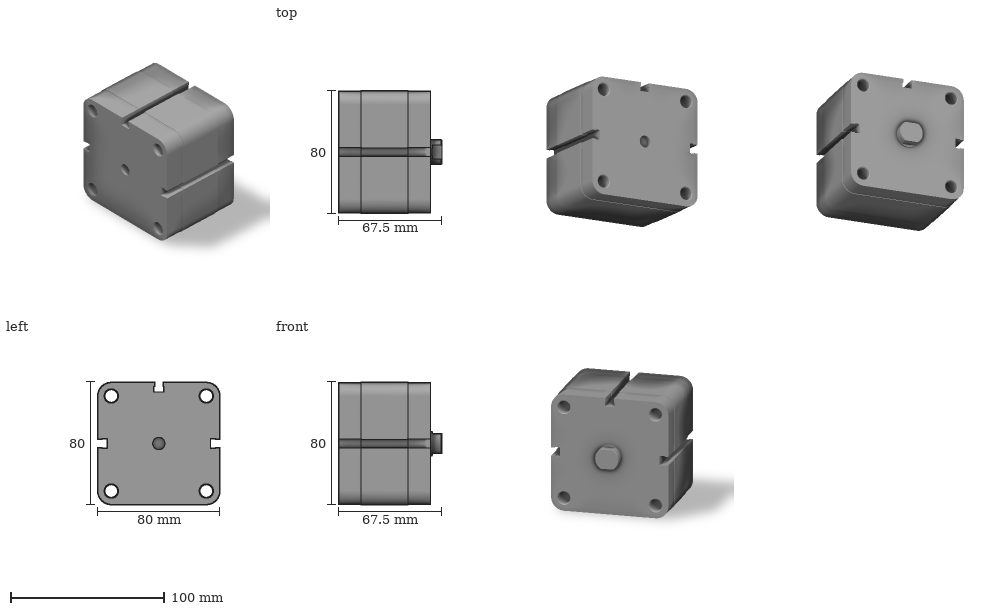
import cadquery as cq
import math


CUT_MARGIN = 0.8

BODY_LENGTH = 60.0
CAP_LENGTH = 14.7
BARREL_LENGTH = BODY_LENGTH - 2 * CAP_LENGTH
TOTAL_LENGTH = 67.5
FRONT_CAP_START = BODY_LENGTH - CAP_LENGTH

BARREL_SIDE = 80.0
CAP_INSET = 0.3
BOLT_SPACING = 62.0
BOLT_DIAMETER = 8.2
BOLT_CHAMFER = 0.6

SLOT_ANGLES = (0, 90, 180)
SLOT_MOUTH_WIDTH = 5.2
SLOT_INNER_WIDTH = 6.0
SLOT_STEP = 37.1
SLOT_FLOOR = 33.8

CENTRE_HOLE_DIAMETER = 8.0
CENTRE_HOLE_DEPTH = 4.0

ROD_LENGTH = TOTAL_LENGTH - BODY_LENGTH
ROD_DIAMETER = 16.0
ROD_CHAMFER_LENGTH = 0.7
ROD_CHAMFER_DEPTH = 0.3
FLATS_WIDTH = 13.0
FLATS_START = 1.0
FLATS_CUTTER_RADIUS = 20.8


def section_plane(x):
    """YZ plane at the given X, facing +X."""
    return cq.Workplane("YZ", origin=(x, 0, 0))


def slot_cutter(x, length, clearance):
    """Stepped slot opening towards +Y, widened by the clearance on each side."""
    outside = BARREL_SIDE / 2 + CUT_MARGIN
    mouth = SLOT_MOUTH_WIDTH + 2 * clearance
    inner = SLOT_INNER_WIDTH + 2 * clearance

    def box(start, end, width):
        return section_plane(x).center((start + end) / 2, 0).rect(end - start, width).extrude(length)

    return box(SLOT_FLOOR, outside, mouth).union(box(SLOT_FLOOR, SLOT_STEP, inner))


def slotted_block(x, length, inset):
    """Rounded square block with the sensor slots and the four bolt holes."""
    side = BARREL_SIDE - 2 * inset
    corner_radius = side / 2 - BOLT_SPACING / 2
    block = section_plane(x).rect(side, side).extrude(length).edges("|X").fillet(corner_radius)
    slot = slot_cutter(x, length, inset)
    for angle in SLOT_ANGLES:
        block = block.cut(slot.rotate((0, 0, 0), (1, 0, 0), angle))
    bolt_holes = (
        section_plane(x)
        .rect(BOLT_SPACING, BOLT_SPACING, forConstruction=True)
        .vertices()
        .circle(BOLT_DIAMETER / 2)
        .extrude(length)
    )
    return block.cut(bolt_holes)


def make_cap(x, outer_face):
    """End cap with its bolt holes chamfered on the outer face."""
    cap = slotted_block(x, CAP_LENGTH, CAP_INSET)
    smallest_radius = cq.selectors.RadiusNthSelector(0)
    hole_rims = cap.faces(outer_face).edges("%CIRCLE").edges(smallest_radius)
    return hole_rims.chamfer(BOLT_CHAMFER)


def make_rear_cap():
    centre_hole = section_plane(0).circle(CENTRE_HOLE_DIAMETER / 2).extrude(CENTRE_HOLE_DEPTH)
    return make_cap(0, "<X").cut(centre_hole)


def make_front_cap():
    return make_cap(FRONT_CAP_START, ">X")


def make_barrel():
    return slotted_block(CAP_LENGTH, BARREL_LENGTH, 0)


def make_rod():
    """Round rod end with a chamfered tip and two wrench flats facing +Z and -Z."""
    rod = (
        section_plane(BODY_LENGTH)
        .circle(ROD_DIAMETER / 2)
        .extrude(ROD_LENGTH)
        .faces(">X")
        .chamfer(ROD_CHAMFER_LENGTH, ROD_CHAMFER_DEPTH)
    )
    end_x = TOTAL_LENGTH + CUT_MARGIN
    arc_x = BODY_LENGTH + FLATS_START
    half_width = ROD_DIAMETER / 2 + CUT_MARGIN
    sagitta = FLATS_CUTTER_RADIUS - math.sqrt(FLATS_CUTTER_RADIUS**2 - half_width**2)
    cutter = (
        cq.Workplane("XY", origin=(0, 0, FLATS_WIDTH / 2))
        .moveTo(arc_x + sagitta, -half_width)
        .threePointArc((arc_x, 0), (arc_x + sagitta, half_width))
        .lineTo(end_x, half_width)
        .lineTo(end_x, -half_width)
        .close()
        .extrude(ROD_DIAMETER / 2)
    )
    return rod.cut(cutter).cut(cutter.mirror("XY"))


rear_cap = make_rear_cap()
barrel = make_barrel()
front_cap = make_front_cap()
rod = make_rod()

result = cq.Compound.makeCompound([rear_cap.val(), barrel.val(), front_cap.val(), rod.val()])